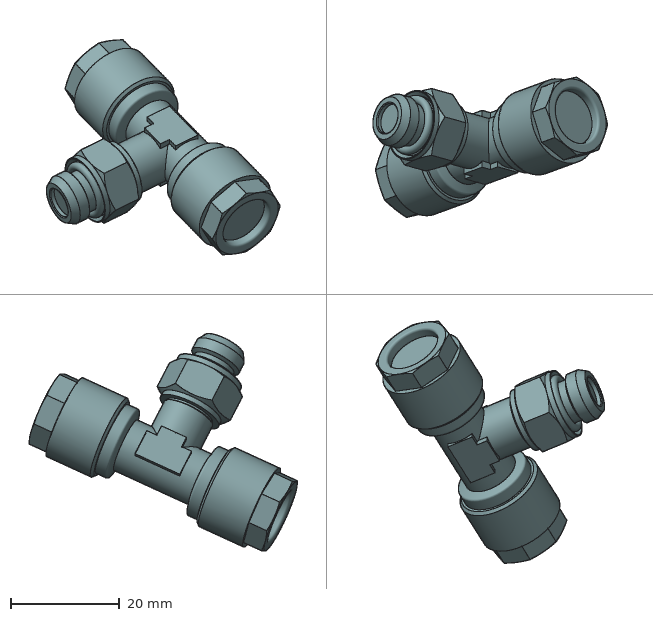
import cadquery as cq
import math

length = 48.0
depth = 33.45
nut_diameter = 16.0

half_length = length / 2
tube_diameter = 10.25
tube_radius = tube_diameter / 2

nut_radius = nut_diameter / 2
octagon_length = 3.9
octagon_corner_radius = 7.6
octagon_face_radius = 6.95
octagon_chamfer_length = 0.25
sleeve_inner_x = 10.5
sleeve_chamfer = 0.55
collar_diameter = 13.95
collar_radius = collar_diameter / 2
collar_tip_x = 7.7
collar_taper = math.radians(15)
collar_fillet = 0.4

socket_radius = 5.15
socket_depth = 1.8
socket_mouth_fillet = 0.5

pad_height = 5.5
pad_bar_width = 9.15
pad_bar_depth = 5.0
pad_stem_width = 5.1
pad_stem_end = 4.5

branch_radius = 5.0
groove_radius = 4.75
groove_start = 10.5
flange_start = 11.0
flange_diameter = 12.0
flange_radius = flange_diameter / 2
hex_start = 11.95
hex_end = 18.5
hex_across_flats = 12.95
hex_flat_radius = hex_across_flats / 2
hex_corner_radius = hex_flat_radius / math.cos(math.pi / 6)
hex_chamfer_slope = math.tan(math.pi / 6)
seat_end = 19.55
neck_diameter = 8.0
neck_radius = neck_diameter / 2
thread_radius = 4.85
thread_start = 21.9
thread_entry_chamfer = 0.45
thread_tip_start = 24.0
branch_end = depth - nut_radius
thread_tip_radius = neck_radius

ring_outer_radius = 5.55
ring_wire_radius = (ring_outer_radius - neck_radius) / 2
ring_centre_radius = neck_radius + ring_wire_radius
ring_centre = 19.45
recess_floor = ring_centre - ring_wire_radius
recess_mouth_radius = 6.3

bore_radius = 2.85
bore_depth = 0.95
bore_chamfer = 0.2


def turned_on_x(points):
    """Solid of revolution about X; each point is (x, radius)."""
    profile = cq.Workplane("XY").polyline(points).close()
    return profile.revolve(360, (0, 0, 0), (1, 0, 0))


def turned_on_branch(points):
    """Solid of revolution about Y; each point is (radius, distance from the run axis)."""
    profile = cq.Workplane("XY").polyline([(radius, -distance) for radius, distance in points]).close()
    return profile.revolve(360, (0, 0, 0), (0, 1, 0))


def make_octagon(sleeve_outer_x):
    """Octagonal end of the nut, its outer corners turned off by a cone."""
    prism = (
        cq.Workplane("YZ", origin=(sleeve_outer_x, 0, 0))
        .polygon(8, 2 * octagon_corner_radius)
        .extrude(octagon_length)
    )
    envelope = turned_on_x([
        (sleeve_outer_x, 0),
        (sleeve_outer_x, octagon_corner_radius),
        (half_length - octagon_chamfer_length, octagon_corner_radius),
        (half_length, octagon_face_radius),
        (half_length, 0),
    ])
    return prism.intersect(envelope)


def make_sleeve(sleeve_outer_x):
    """Round part of the nut, chamfered on its inner edge."""
    return turned_on_x([
        (sleeve_inner_x, 0),
        (sleeve_inner_x, nut_radius - sleeve_chamfer),
        (sleeve_inner_x + sleeve_chamfer, nut_radius),
        (sleeve_outer_x, nut_radius),
        (sleeve_outer_x, 0),
    ])


def make_collar():
    """Collar whose end tapers to the tube, with a rounded shoulder."""
    shoulder_x = collar_tip_x + (collar_radius - tube_radius) * math.tan(collar_taper)
    collar = turned_on_x([
        (collar_tip_x, 0),
        (collar_tip_x, tube_radius),
        (shoulder_x, collar_radius),
        (sleeve_inner_x, collar_radius),
        (sleeve_inner_x, 0),
    ])
    half_window = 0.05
    shoulder_box = cq.selectors.BoxSelector(
        (shoulder_x - half_window, -nut_radius, -nut_radius),
        (shoulder_x + half_window, nut_radius, nut_radius),
        boundingbox=True,
    )
    return collar.edges(shoulder_box).fillet(collar_fillet)


def make_socket():
    """Blind tube socket, widened by a rounded mouth."""
    fillet_start_x = half_length - socket_mouth_fillet
    mouth_radius = socket_radius + socket_mouth_fillet
    arc_offset = socket_mouth_fillet * math.sqrt(0.5)
    return (
        cq.Workplane("XY")
        .moveTo(half_length - socket_depth, 0)
        .lineTo(half_length - socket_depth, socket_radius)
        .lineTo(fillet_start_x, socket_radius)
        .threePointArc((fillet_start_x + arc_offset, mouth_radius - arc_offset), (half_length, mouth_radius))
        .lineTo(half_length, 0)
        .close()
        .revolve(360, (0, 0, 0), (1, 0, 0))
    )


def make_right_nut():
    sleeve_outer_x = half_length - octagon_length
    nut = make_octagon(sleeve_outer_x).union(make_sleeve(sleeve_outer_x)).union(make_collar())
    return nut.cut(make_socket())


def make_pads():
    """Both T-shaped pads, as one block passing through the junction."""
    bar = cq.Workplane("XY").box(pad_bar_width, pad_bar_depth, 2 * pad_height)
    stem = (
        cq.Workplane("XY")
        .box(pad_stem_width, pad_stem_end, 2 * pad_height)
        .translate((0, -pad_stem_end / 2, 0))
    )
    return bar.union(stem)


def make_hexagon():
    """Hexagon with its corners turned off at both ends."""
    prism = (
        cq.Workplane("XZ", origin=(0, -hex_start, 0))
        .polygon(6, 2 * hex_corner_radius)
        .extrude(hex_end - hex_start)
    )
    start_chamfer = (hex_corner_radius - flange_radius) * hex_chamfer_slope
    end_chamfer = (hex_corner_radius - hex_flat_radius) * hex_chamfer_slope
    envelope = turned_on_branch([
        (0, hex_start),
        (flange_radius, hex_start),
        (hex_corner_radius, hex_start + start_chamfer),
        (hex_corner_radius, hex_end - end_chamfer),
        (hex_flat_radius, hex_end),
        (0, hex_end),
    ])
    return prism.intersect(envelope)


def make_branch_core():
    """Turned parts of the branch, from the run axis to the threaded end, with the ring recess."""
    return turned_on_branch([
        (0, 0),
        (branch_radius, 0),
        (branch_radius, groove_start),
        (groove_radius, groove_start),
        (groove_radius, flange_start),
        (flange_radius, flange_start),
        (flange_radius, hex_end),
        (hex_flat_radius, hex_end),
        (hex_flat_radius, seat_end),
        (recess_mouth_radius, seat_end),
        (ring_outer_radius, recess_floor),
        (neck_radius, recess_floor),
        (neck_radius, thread_start - thread_entry_chamfer),
        (thread_radius, thread_start),
        (thread_radius, thread_tip_start),
        (thread_tip_radius, branch_end),
        (0, branch_end),
    ])


def make_bore():
    """Blind bore with a chamfered mouth."""
    return turned_on_branch([
        (0, branch_end - bore_depth),
        (bore_radius, branch_end - bore_depth),
        (bore_radius, branch_end - bore_chamfer),
        (bore_radius + bore_chamfer, branch_end),
        (0, branch_end),
    ])


def make_tee():
    right_nut = make_right_nut()
    tube = cq.Workplane("YZ").circle(tube_radius).extrude(sleeve_inner_x, both=True)
    tee = tube.union(right_nut).union(right_nut.mirror("YZ")).union(make_pads())
    tee = tee.union(make_branch_core()).union(make_hexagon())
    return tee.cut(make_bore())


def make_sealing_ring():
    return (
        cq.Workplane("XY")
        .center(ring_centre_radius, -ring_centre)
        .circle(ring_wire_radius)
        .revolve(360, (-ring_centre_radius, 0, 0), (-ring_centre_radius, 1, 0))
    )


tee = make_tee()
sealing_ring = make_sealing_ring()
result = cq.Compound.makeCompound([tee.solids().val(), sealing_ring.val()])